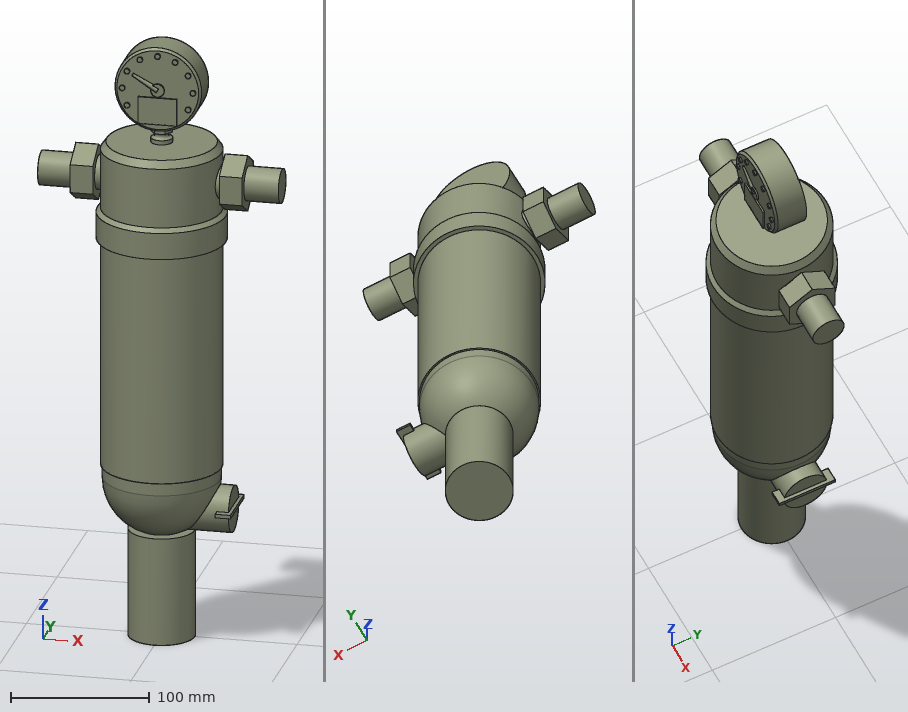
import cadquery as cq
import math

hex_sides = 6

total_height = 454.0
total_width = 178.0

pipe_radius = 24.5
pipe_top = 81.5
dome_radius = 43.0
dome_center_z = 121.5
bowl_radius = 88.5 / 2
bowl_bottom = 131.0
collar_radius = 95.0 / 2
collar_bottom = 304.5
collar_top = 328.0
collar_chamfer = collar_radius - bowl_radius
cap_top = 378.0
cap_chamfer_width = 4.0
cap_chamfer_height = 5.5

port_z = 351.0
port_radius = 12.5
nut_corner_diameter = 42.5
nut_inner_x = 46.8
nut_outer_x = 63.5

drain_radius = 17.3
drain_z = 100.5
drain_end_x = 53.0
handle_inner_x = 44.5
handle_outer_x = 56.0
handle_width = 45.5
handle_thickness = 2.5
handle_z = 102.0

gauge_radius = 64.0 / 2
gauge_z = total_height - gauge_radius
gauge_back_y = 12.0
gauge_front_y = -13.0
gauge_chamfer = 2.0
mark_count = 9
mark_step = 30.0
mark_first_angle = -30.0
mark_circle_radius = 52.0 / 2
mark_radius = 2.05
raised_height = 1.5
label_width = 28.5
label_height = 20.5
label_top_z = 416.5
hub_radius = 5.0
pointer_angle = 150.0
pointer_length = 21.5
pointer_base_radius = 2.3
pointer_tip_radius = 1.15

stem_radius = 16.0 / 2
neck_radius = 5.0
stem_foot_top = 381.5
stem_nut_bottom = 386.0


def revolve_about_z(outline):
    return outline.close().revolve(360, (0, 0, 0), (0, 1, 0))


def vessel():
    """Solid of revolution from the outlet pipe up to the cap."""
    drop = dome_center_z - pipe_top
    dome_foot_radius = math.sqrt(dome_radius**2 - drop**2)
    diagonal = math.radians(45)
    outline = (
        cq.Workplane("XZ")
        .moveTo(0, 0)
        .lineTo(pipe_radius, 0)
        .lineTo(pipe_radius, pipe_top)
        .lineTo(dome_foot_radius, pipe_top)
        .threePointArc(
            (dome_radius * math.cos(diagonal), dome_center_z - dome_radius * math.sin(diagonal)),
            (dome_radius, dome_center_z),
        )
        .lineTo(dome_radius, bowl_bottom)
        .lineTo(bowl_radius, bowl_bottom)
        .lineTo(bowl_radius, collar_bottom)
        .lineTo(collar_radius, collar_bottom)
        .lineTo(collar_radius, collar_top - collar_chamfer)
        .lineTo(bowl_radius, collar_top)
        .lineTo(bowl_radius, cap_top - cap_chamfer_height)
        .lineTo(bowl_radius - cap_chamfer_width, cap_top)
        .lineTo(0, cap_top)
    )
    return revolve_about_z(outline)


def side_ports():
    """Straight pipe through the cap with a hexagonal nut, corner up, on each side."""
    axis_plane = cq.Workplane("YZ", origin=(0, 0, port_z))
    ports = axis_plane.circle(port_radius).extrude(total_width / 2, both=True)
    nut_length = nut_outer_x - nut_inner_x
    for start_x in (nut_inner_x, -nut_outer_x):
        nut = (
            axis_plane.workplane(offset=start_x)
            .transformed(rotate=(0, 0, 90))
            .polygon(hex_sides, nut_corner_diameter)
            .extrude(nut_length)
        )
        ports = ports.union(nut)
    return ports


def drain():
    """Stub pipe at the dome with a flat handle plate across its end."""
    stub = cq.Workplane("YZ", origin=(0, 0, drain_z)).circle(drain_radius).extrude(drain_end_x)
    handle = cq.Workplane("XY").box(handle_outer_x - handle_inner_x, handle_width, handle_thickness)
    handle_x = (handle_inner_x + handle_outer_x) / 2
    return stub.union(handle.translate((handle_x, 0, handle_z)))


def gauge_stem():
    """Round foot, grooved neck and hexagonal nut, reaching up into the gauge case."""
    nut_flat_radius = stem_radius * math.cos(math.pi / hex_sides)
    neck_middle = (stem_foot_top + stem_nut_bottom) / 2
    outline = (
        cq.Workplane("XZ")
        .moveTo(0, cap_top)
        .lineTo(stem_radius, cap_top)
        .lineTo(stem_radius, stem_foot_top)
        .threePointArc((neck_radius, neck_middle), (nut_flat_radius, stem_nut_bottom))
        .lineTo(0, stem_nut_bottom)
    )
    nut_height = gauge_z - gauge_radius / 2 - stem_nut_bottom
    nut = (
        cq.Workplane("XY", origin=(0, 0, stem_nut_bottom))
        .polygon(hex_sides, 2 * stem_radius)
        .extrude(nut_height)
    )
    return revolve_about_z(outline).union(nut)


def gauge():
    """Round case with round scale marks, label plate, hub and tapered pointer on its dial."""
    dial = cq.Workplane("XZ", origin=(0, gauge_front_y, gauge_z))
    case = (
        dial.circle(gauge_radius)
        .extrude(gauge_front_y - gauge_back_y)
        .faces("<Y")
        .chamfer(gauge_chamfer)
    )
    marks = (
        dial.polarArray(mark_circle_radius, mark_first_angle, mark_step * (mark_count - 1), mark_count)
        .circle(mark_radius)
        .extrude(raised_height)
    )
    label = (
        dial.center(0, label_top_z - label_height / 2 - gauge_z)
        .rect(label_width, label_height)
        .extrude(raised_height)
    )
    hub = dial.circle(hub_radius).extrude(raised_height)
    direction = math.radians(pointer_angle)
    pointer = cq.Solid.makeCone(
        pointer_base_radius,
        pointer_tip_radius,
        pointer_length,
        cq.Vector(0, gauge_front_y, gauge_z),
        cq.Vector(math.cos(direction), 0, math.sin(direction)),
    )
    return case.union(marks).union(label).union(hub).union(cq.Workplane(pointer))


result = vessel().union(side_ports()).union(drain()).union(gauge_stem()).union(gauge())